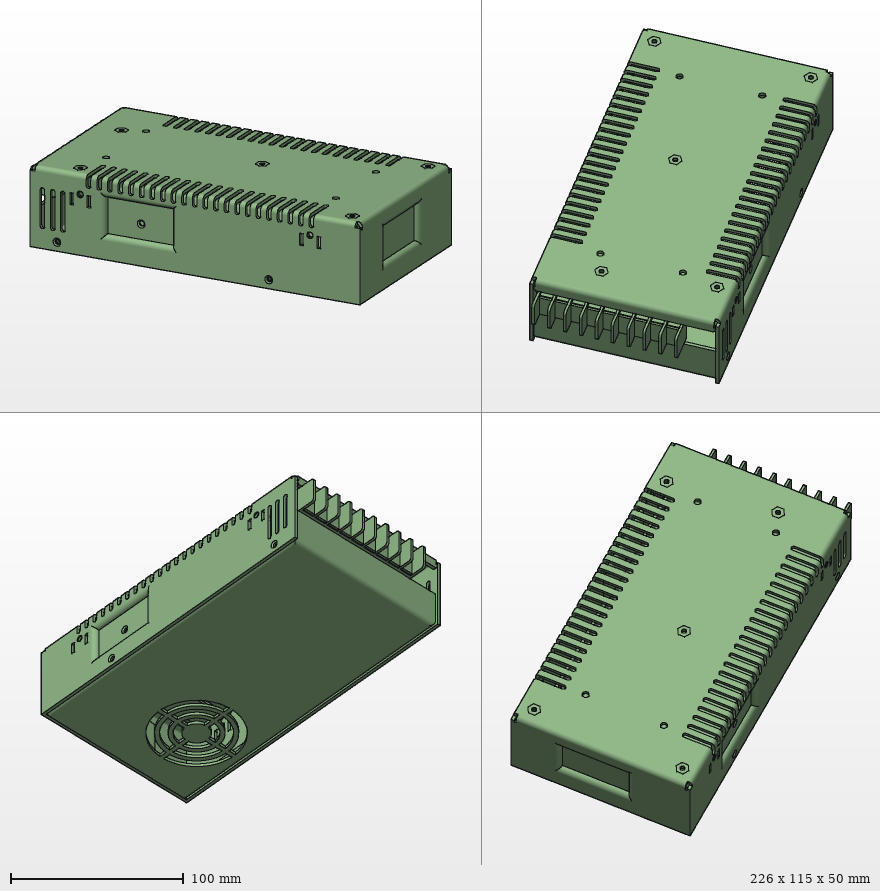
import cadquery as cq
import math

chassis_length = 215.2
chassis_width = 115.0
height = 50.0
sheet = 2.0
bend_outer = 3.0
bend_inner = bend_outer - sheet
flange_bottom = 42.0
half_width = chassis_width / 2
inner_half_width = half_width - sheet
inner_top = height - sheet

relief_drop = 3.0
relief_slit_drop = 4.5
relief_reach = 3.2
flange_gap = 0.5
flange_chamfer = 1.0

vent_count = 22
vent_first_x = 38.2
vent_last_x = 183.5
vent_width = 3.0
vent_reach = 20.0
vent_drop = 7.7

louvre_xs = (8.1, 15.0, 21.5)
louvre_bottom = 12.5
louvre_top = 37.5
louvre_width = 3.0
mount_xs = (32.8, 182.5)
mount_y = 25.0
mount_diameter = 4.0
side_hole_diameter = 3.5
side_hole_mouth = 4.0
side_hole_z = 37.5
tab_slot_offset = 5.6
tab_slot_width = 2.3
tab_slot_bottom = 30.3
tab_slot_top = 37.5

screw_xs = (17.6, 155.7)
screw_z = 5.6
screw_diameter = 3.2
countersink_diameter = 5.0
tapped_diameter = 2.5

recess_length = 50.0
recess_bottom = 11.8
recess_top = 41.1
recess_depth = 3.5
boss_depth = 3.2
recess_hole_z = 24.6
front_recess_x = 70.7
back_recess_x = 148.0
rear_recess_y = -4.5

cover_front = sheet
cover_front_height = 24.2
cover_flange_height = 10.5
cover_half_width = inner_half_width
cover_rear = chassis_length - sheet
grille_x = 166.0
grille_y = -19.7
grille_ring_radii = ((24.5, 29.4), (16.5, 21.5), (8.5, 13.5))
grille_spoke = 3.0

overall_length = 226
fin_count = 10
fin_first_y = -34.8
fin_last_y = 52.0
fin_thickness = 1.5
fin_top = 41.1
fin_corner = 2.0
block_tip = chassis_length - overall_length
block_front = -1.4
block_rear = 7.0
block_top = 39.0
face_inset = 0.7

nut_places = ((19.5, 20.1), (27.8, -47.5), (118.0, 7.0), (205.0, -47.5), (205.0, 47.7))
nut_across_flats = 7.0
nut_thread = 2.5
nut_mouth = 3.0


def box(x0, x1, y0, y1, z0, z1):
    """Axis-aligned block between opposite corners."""
    return cq.Workplane("XY").box(x1 - x0, y1 - y0, z1 - z0, centered=False).translate((x0, y0, z0))


def side_cylinder(x, z, diameter):
    """Cylinder along Y that passes through both side walls."""
    middle = cq.Workplane("XZ").center(x, z)
    return middle.circle(diameter / 2).extrude(chassis_width, both=True)


def side_countersink(x, z, y_surface, direction, hole_diameter, mouth_diameter):
    """Side hole with a 90 degree countersink at y_surface, running along Y by direction (+1 or -1)."""
    mouth = mouth_diameter / 2
    hole = hole_diameter / 2
    axis = cq.Vector(0, direction, 0)
    start = cq.Vector(x, y_surface, z)
    cone = cq.Solid.makeCone(mouth, hole, mouth - hole, start, axis)
    drill = cq.Solid.makeCylinder(hole, 3 * sheet, start, axis)
    return cq.Workplane(obj=cone.fuse(drill))


def screw_hole(x, z, y_surface, direction):
    """Countersunk screw hole cutter."""
    hole = side_countersink(x, z, y_surface, direction, screw_diameter, countersink_diameter)
    return hole.val()


def placed_recess(shape, turn, x, y):
    """Turn a shape made for the -Y wall about Z and move it to its wall."""
    return shape.rotate((0, 0, 0), (0, 0, 1), turn).translate((x, y, 0))


def recess_boss():
    """Rounded block that stands inward from the wall, whose outer face is at y = 0."""
    half = recess_length / 2
    block = box(-half, half, 0, sheet + boss_depth, recess_bottom, recess_top)
    return block.faces(">Y").edges().fillet(boss_depth)


def recess_cavity():
    """Pocket whose four sides flare out in quarter rounds to meet the wall face tangentially."""
    half = recess_length / 2
    cavity = box(-half, half, 0, recess_depth, recess_bottom, recess_top)
    for z in (recess_bottom, recess_top):
        bar = cq.Workplane("YZ").center(recess_depth, z).circle(recess_depth).extrude(half, both=True)
        cavity = cavity.cut(bar)
    for x in (-half, half):
        bar = cq.Workplane("XY").center(x, recess_depth).circle(recess_depth).extrude(height)
        cavity = cavity.cut(bar)
    return cavity


def nut_hexagon():
    """Corners of the nut's hexagon, two of them on its Y axis."""
    radius = nut_across_flats / math.sqrt(3)
    angles = [math.radians(30 + 60 * i) for i in range(6)]
    return [(radius * math.cos(a), radius * math.sin(a)) for a in angles]


def vent_slots():
    """All wrap-over slots: round-ended cuts in the top that run over the bend and down the side walls."""
    pitch = (vent_last_x - vent_first_x) / (vent_count - 1)
    wall_depth = sheet + bend_inner
    top_length = 2 * vent_reach
    wall_length = 2 * vent_drop
    tools = []
    for side in (-1, 1):
        y_edge = side * half_width
        y_inner = side * (half_width - wall_depth)
        for i in range(vent_count):
            x = vent_first_x + i * pitch
            top_cut = cq.Workplane("XY", origin=(x, y_edge, height - wall_depth))
            top_cut = top_cut.slot2D(top_length, vent_width, 90).extrude(wall_depth)
            wall_cut = cq.Workplane("XZ", origin=(x, max(y_edge, y_inner), height))
            wall_cut = wall_cut.slot2D(wall_length, vent_width, 90).extrude(wall_depth)
            tools += [top_cut.val(), wall_cut.val()]
    return tools


def corner_reliefs():
    """Notches that separate the end flanges from the side walls at the four top corners."""
    tools = []
    for x0, x1 in ((0, relief_reach), (chassis_length - relief_reach, chassis_length)):
        for side in (-1, 1):
            y_edge = side * half_width
            y_wall = side * inner_half_width
            y_bend = side * (half_width - relief_reach)
            notch = box(x0, x1, min(y_edge, y_bend), max(y_edge, y_bend), height - relief_drop, height)
            slit = box(x0, x1, min(y_wall, y_bend), max(y_wall, y_bend), height - relief_slit_drop, height)
            tools += [notch.val(), slit.val()]
    return tools


def make_chassis():
    shell = box(0, chassis_length, -half_width, half_width, 0, height)
    shell = shell.faces(">Z").edges().fillet(bend_outer)
    inside = box(sheet, chassis_length - sheet, -inner_half_width, inner_half_width, 0, inner_top)
    inside = inside.faces(">Z").edges().fillet(bend_inner)
    flange_half = inner_half_width - flange_gap
    flange = box(0, sheet, -flange_half, flange_half, flange_bottom, height)
    flange = flange.edges("|X and <Z").chamfer(flange_chamfer)
    front_opening = box(0, sheet, -inner_half_width, inner_half_width, 0, height - bend_outer)
    shell = shell.cut(inside).cut(front_opening.cut(flange))

    recess_walls = (
        (0, front_recess_x, -half_width),
        (180, back_recess_x, half_width),
        (90, chassis_length, rear_recess_y),
    )
    for turn, x, y in recess_walls:
        shell = shell.union(placed_recess(recess_boss(), turn, x, y))
        shell = shell.cut(placed_recess(recess_cavity(), turn, x, y))

    tools = vent_slots() + corner_reliefs()
    for x in louvre_xs:
        slot = cq.Workplane("XZ").center(x, (louvre_bottom + louvre_top) / 2)
        slot = slot.slot2D(louvre_top - louvre_bottom, louvre_width, 90)
        tools.append(slot.extrude(chassis_width, both=True).val())
    for x in mount_xs:
        for y in (-mount_y, mount_y):
            hole = cq.Workplane("XY").workplane(offset=inner_top).center(x, y)
            tools.append(hole.circle(mount_diameter / 2).extrude(sheet).val())
        for tab_x in (x - tab_slot_offset, x + tab_slot_offset):
            half = tab_slot_width / 2
            tab = box(tab_x - half, tab_x + half, -half_width, half_width, tab_slot_bottom, tab_slot_top)
            tools.append(tab.val())
    for side in (-1, 1):
        for x in screw_xs:
            tools.append(screw_hole(x, screw_z, side * half_width, -side))
        for x in mount_xs:
            hole = side_countersink(
                x, side_hole_z, side * half_width, -side, side_hole_diameter, side_hole_mouth
            )
            tools.append(hole.val())
        recess_x = front_recess_x if side < 0 else back_recess_x
        floor_y = side * (half_width - recess_depth)
        tools.append(screw_hole(recess_x, recess_hole_z, floor_y, -side))
    for x, y in nut_places:
        seat = cq.Workplane("XY").workplane(offset=inner_top).center(x, y)
        tools.append(seat.polyline(nut_hexagon()).close().extrude(sheet).val())
    return cq.Workplane(obj=shell.val().cut(*tools))


def make_cover():
    tray = box(cover_front, cover_rear, -cover_half_width, cover_half_width, 0, cover_front_height)
    tray = tray.edges("(<Z and |X) or (<Z and <X)").fillet(bend_outer)
    inner_y = cover_half_width - sheet
    inside = box(cover_front + sheet, cover_rear, -inner_y, inner_y, sheet, cover_front_height)
    inside = inside.edges("(<Z and |X) or (<Z and <X)").fillet(bend_inner)
    above_flanges = box(
        cover_front + sheet, cover_rear, -half_width, half_width, cover_flange_height, cover_front_height
    )
    tray = tray.cut(inside).cut(above_flanges)

    centre = cq.Workplane("XY").center(grille_x, grille_y)
    reach = grille_ring_radii[0][1]
    half = grille_spoke / 2
    spoke_x = box(grille_x - reach, grille_x + reach, grille_y - half, grille_y + half, 0, sheet)
    spoke_y = box(grille_x - half, grille_x + half, grille_y - reach, grille_y + reach, 0, sheet)
    for inner, outer in grille_ring_radii:
        ring = centre.circle(outer).circle(inner).extrude(sheet)
        tray = tray.cut(ring.cut(spoke_x).cut(spoke_y))
    for x in screw_xs:
        tray = tray.cut(side_cylinder(x, screw_z, tapped_diameter))
    return tray


def make_terminal_block():
    half = fin_thickness / 2
    y0 = fin_first_y - half
    y1 = fin_last_y + half
    bottom = cover_front_height
    block = box(0, block_rear, y0, y1, bottom, block_top)
    block = block.union(box(block_front, 0, y0, y1, bottom + face_inset, block_top - face_inset))
    pitch = (fin_last_y - fin_first_y) / (fin_count - 1)
    for i in range(fin_count):
        y = fin_first_y + i * pitch
        fin = box(block_tip, block_rear, y - half, y + half, bottom, fin_top)
        block = block.union(fin.edges("<X and |Y").fillet(fin_corner))
    return block


def make_nut(x, y):
    nut = cq.Workplane("XY").workplane(offset=inner_top).center(x, y)
    nut = nut.polyline(nut_hexagon()).close().extrude(sheet)
    nut = nut.faces(">Z").workplane(origin=(x, y, height)).hole(nut_thread)
    mouth = (nut_mouth - nut_thread) / 2
    cone = cq.Solid.makeCone(nut_thread / 2, nut_mouth / 2, mouth, cq.Vector(x, y, height - mouth))
    return nut.cut(cq.Workplane(obj=cone))


chassis = make_chassis()
cover = make_cover()
terminal_block = make_terminal_block()
nuts = [make_nut(x, y) for x, y in nut_places]

result = cq.Compound.makeCompound(
    [chassis.val(), cover.val(), terminal_block.val(), *[nut.val() for nut in nuts]]
)